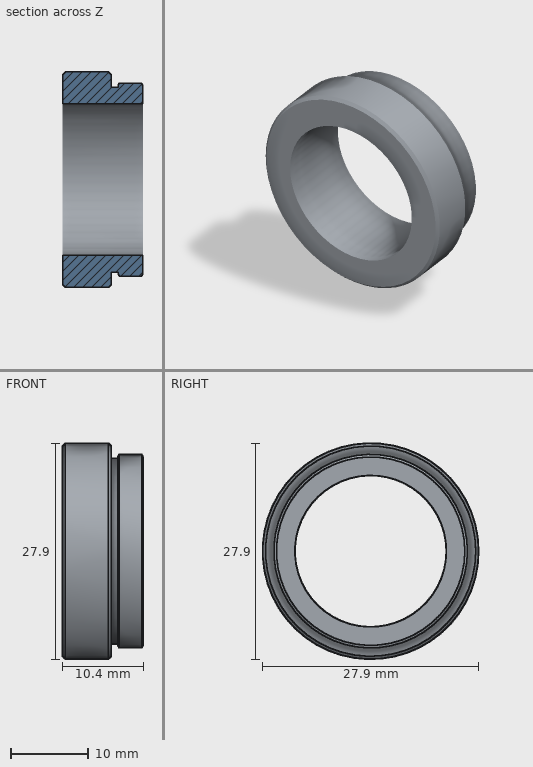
import cadquery as cq

total_length = 10.42
bore_diameter = 19.53

flange_diameter = 27.95
flange_length = 6.35
flange_chamfer = 0.4

groove_diameter = 24.03
groove_width = 0.8

collar_diameter = 25.0
collar_start = flange_length + groove_width
collar_length = total_length - collar_start
collar_chamfer_length = 0.17
collar_chamfer_depth = 0.34


def chamfered_ring(start_x, length, diameter, chamfer_length=0, chamfer_depth=0):
    """Ring around the bore, with both outer rims chamfered if a chamfer is given."""
    end_x = start_x + length
    radius = diameter / 2
    rim_radius = radius - chamfer_depth
    profile = cq.Workplane("XY").moveTo(start_x, bore_diameter / 2).lineTo(start_x, rim_radius)
    if chamfer_length > 0:
        profile = profile.lineTo(start_x + chamfer_length, radius)
        profile = profile.lineTo(end_x - chamfer_length, radius)
    profile = profile.lineTo(end_x, rim_radius).lineTo(end_x, bore_diameter / 2).close()
    return profile.revolve(360, (0, 0, 0), (1, 0, 0))


flange = chamfered_ring(0, flange_length, flange_diameter, flange_chamfer, flange_chamfer)
groove_floor = chamfered_ring(flange_length, groove_width, groove_diameter)
collar = chamfered_ring(
    collar_start, collar_length, collar_diameter, collar_chamfer_length, collar_chamfer_depth
)

result = flange.union(groove_floor).union(collar)